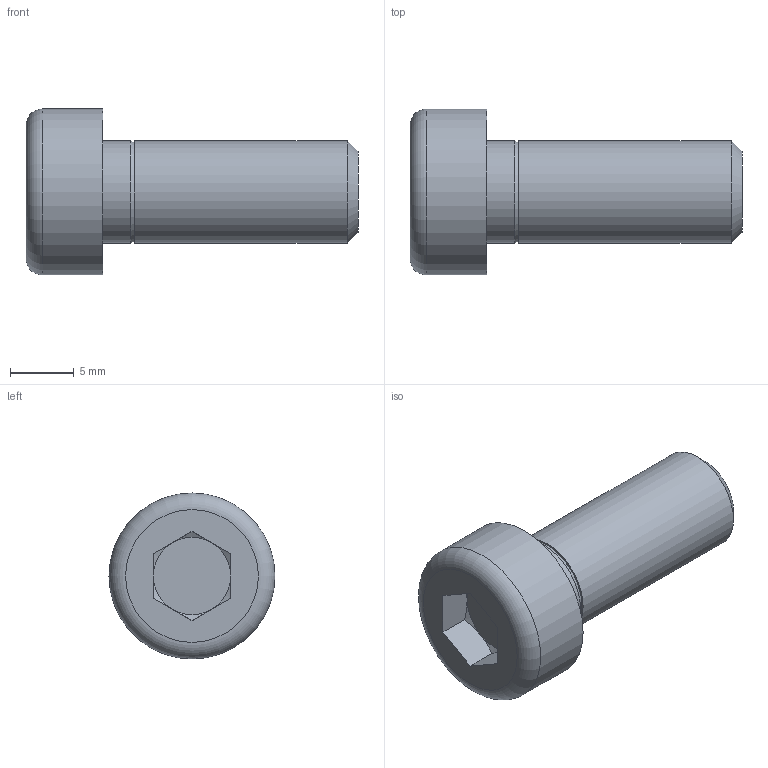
import cadquery as cq
import math

total_length = 26.0
head_diameter = 13.0
head_length = 6.0
head_edge_radius = 1.3
shank_diameter = 8.0

neck_length = 2.2
groove_width = 0.3
groove_depth = 0.15

tip_chamfer = 0.85

socket_across_flats = 6.05
socket_corner_depth = 2.4
socket_floor_slope = 30.0

head_radius = head_diameter / 2
shank_radius = shank_diameter / 2
socket_corner_radius = socket_across_flats / math.sqrt(3)


def make_body():
    """Revolve the half profile of head, neck, groove and shank about X."""
    arc_offset = head_edge_radius * (1 - math.sqrt(0.5))
    groove_start = head_length + neck_length
    groove_end = groove_start + groove_width
    groove_radius = shank_radius - groove_depth
    return (
        cq.Workplane("XY")
        .moveTo(0, 0)
        .lineTo(0, head_radius - head_edge_radius)
        .threePointArc((arc_offset, head_radius - arc_offset), (head_edge_radius, head_radius))
        .lineTo(head_length, head_radius)
        .lineTo(head_length, shank_radius)
        .lineTo(groove_start, shank_radius)
        .lineTo(groove_end, groove_radius)
        .lineTo(groove_end, shank_radius)
        .lineTo(total_length - tip_chamfer, shank_radius)
        .lineTo(total_length, shank_radius - tip_chamfer)
        .lineTo(total_length, 0)
        .close()
        .revolve(360, (0, 0, 0), (1, 0, 0))
    )


def make_socket():
    """Hexagonal prism, corners along Z; a cone lifts the floor from its inscribed circle to the corners."""
    floor_radius = socket_across_flats / 2
    corner_rise = (socket_corner_radius - floor_radius) * math.tan(math.radians(socket_floor_slope))
    socket_depth = socket_corner_depth + corner_rise
    prism = (
        cq.Workplane("YZ")
        .polygon(6, 2 * socket_corner_radius)
        .extrude(socket_depth)
        .rotate((0, 0, 0), (1, 0, 0), 90)
    )
    rim_radius = floor_radius + socket_depth / math.tan(math.radians(socket_floor_slope))
    floor_envelope = (
        cq.Workplane("XY")
        .lineTo(0, rim_radius)
        .lineTo(socket_depth, floor_radius)
        .lineTo(socket_depth, 0)
        .close()
        .revolve(360, (0, 0, 0), (1, 0, 0))
    )
    return prism.intersect(floor_envelope)


result = make_body().cut(make_socket())